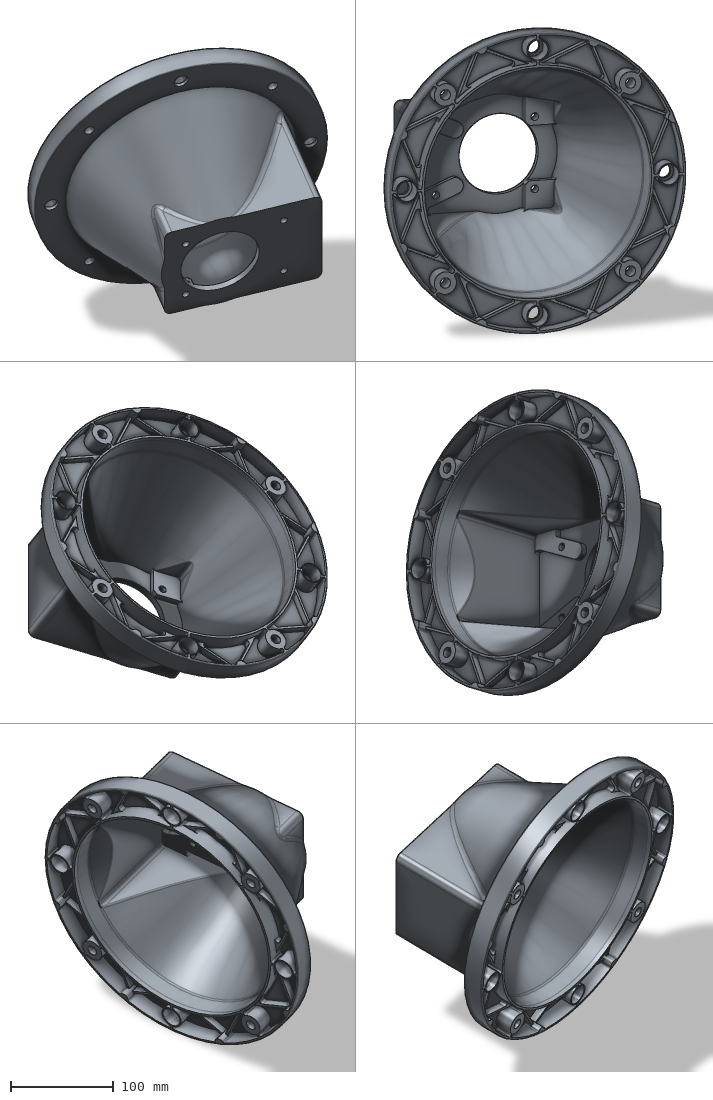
import cadquery as cq
import math

length = 143.0
wall = 2.5

flange_dia = 300.0
flange_depth = 21.5
flange_edge_round = 1.0
pocket_outer_radius = flange_dia / 2 - wall
pocket_inner_radius = 235.0 / 2
pocket_depth = 17.7
pocket_corner_radius = 1.5
rib_recess = 10.0
rib_square_side = 60.0
rib_pocket_corner_radius = 3.0

boss_count = 8
bolt_circle_radius = 132.5
boss_radius = 11.25
screw_hole_dia = 10.2
dowel_hole_dia = 14.0
dowel_counterbore_dia = 20.0
bump_radius = 5.5
bump_circle_radius = 148.8
boss_pitch = 360 / boss_count

cone_base_radius = 118.0
cone_end_radius = 60.0
spigot_radius = 230.0 / 2
spigot_depth = 5.0
inner_cone_base_radius = 113.0
inner_cone_floor_radius = 59.5

box_y_max = 104.0
box_y_min = -56.7
box_half_height = 58.2
box_corner_radius = 7.5
box_cone_fillet = 7.5
inner_box_cone_fillet = 2.5
bore_end_fillet = 7.5

floor_thickness = 7.0
floor_x = length - floor_thickness
pad_height = 6.3
end_bore_dia = 80.0
mount_hole_dia = 7.5
mount_y_far = 65.5
mount_y_near = -34.8
mount_z = 36.0

arm_angle = 22.5
arm_radius = 8.5
arm_reach = 21.0
far_pad_y = 73.5
far_pad_z = 39.3
near_pad_y = -25.0
near_pad_z = 27.5
near_pad_corner_radius = 1.5
far_pad_corner_radius = 2.5


def disc(radius, x_start, depth, y=0, z=0):
    """Cylinder along X."""
    return cq.Workplane("YZ", origin=(x_start, y, z)).circle(radius).extrude(depth)


def block(x_start, depth, y_min, y_max, z_min, z_max):
    """Box given by its limits."""
    size = (depth, y_max - y_min, z_max - z_min)
    return cq.Workplane("XY").box(*size, centered=False).translate((x_start, y_min, z_min))


def turn(body, angle):
    """Rotate a body about the housing axis."""
    return body.rotate((0, 0, 0), (1, 0, 0), angle)


def round_crossing(body, x_start, x_end, radius):
    """Round the curved edges where a cone and a box cross, between two X limits."""
    margin = 0.3
    low = (x_start + margin, -flange_dia, -flange_dia)
    high = (x_end - margin, flange_dia, flange_dia)
    between = cq.selectors.BoxSelector(low, high)
    return body.edges(between).edges("not(%LINE or %CIRCLE)").fillet(radius)


def make_outer_shell():
    """Solid cone with the side box blended into it."""
    cone = cq.Workplane("XY").polyline([
        (flange_depth, 0),
        (flange_depth, cone_base_radius),
        (length, cone_end_radius),
        (length, 0),
    ]).close().revolve(360, (0, 0, 0), (1, 0, 0))
    box = block(flange_depth, length - flange_depth,
                box_y_min, box_y_max, -box_half_height, box_half_height)
    box = box.edges("|X").fillet(box_corner_radius)
    body = cone.union(box)
    return round_crossing(body, flange_depth, length, box_cone_fillet)


def make_pads(x_start, depth):
    """Slanted far pads and square near pads, mirrored about the middle plane."""
    lean = math.radians(arm_angle)
    tip = (mount_y_far - arm_reach * math.cos(lean),
           mount_z - arm_reach * math.sin(lean))
    slope = math.tan(lean)
    side = (-arm_radius * math.sin(lean),
            arm_radius * math.cos(lean))
    upper = (tip[0] + side[0], tip[1] + side[1])
    lower = (tip[0] - side[0], tip[1] - side[1])
    nose = (tip[0] - side[1], tip[1] + side[0])
    far_pad = (
        cq.Workplane("YZ", origin=(x_start, 0, 0))
        .moveTo(box_y_max, box_half_height)
        .lineTo(far_pad_y, box_half_height)
        .lineTo(far_pad_y, upper[1] + slope * (far_pad_y - upper[0]))
        .lineTo(*upper)
        .threePointArc(nose, lower)
        .lineTo(lower[0] + (far_pad_z - lower[1]) / slope, far_pad_z)
        .lineTo(box_y_max, far_pad_z)
        .close()
        .extrude(depth)
    )
    near_pad = block(x_start, depth, box_y_min, near_pad_y, near_pad_z, box_half_height)
    near_pad = near_pad.cut(disc(end_bore_dia / 2, x_start, depth))
    pads = far_pad.union(near_pad)
    return pads.union(pads.mirror("XY"))


def round_pad_corners(cavity):
    """Round the pad corners, leaving out the smooth joints at the arm noses."""
    reach = flange_dia
    pad_x = floor_x - pad_height
    near = cq.selectors.BoxSelector((pad_x, -reach, -reach), (floor_x, 0, reach))
    far = cq.selectors.BoxSelector((pad_x, mount_y_far, -reach), (floor_x, reach, reach))
    cavity = cavity.edges(near).edges("|X").fillet(near_pad_corner_radius)
    return cavity.edges(far).edges("|X").fillet(far_pad_corner_radius)


def make_cavity():
    """Inside of the bell: spigot bore, tapered bore, cone and box, down to the pads."""
    cone = cq.Workplane("XY").polyline([
        (0, 0),
        (0, spigot_radius),
        (spigot_depth, spigot_radius),
        (flange_depth, inner_cone_base_radius),
        (floor_x, inner_cone_floor_radius),
        (floor_x, 0),
    ]).close().revolve(360, (0, 0, 0), (1, 0, 0))
    bore_end = cq.selectors.NearestToPointSelector((flange_depth, 0, inner_cone_base_radius))
    cone = cone.edges(bore_end).fillet(bore_end_fillet)
    half_height = box_half_height - wall
    box = block(flange_depth, floor_x - flange_depth,
                box_y_min + wall, box_y_max - wall, -half_height, half_height)
    box = box.edges("|X").fillet(box_corner_radius - wall)
    cavity = round_crossing(cone.union(box), flange_depth, floor_x, inner_box_cone_fillet)
    cavity = cavity.cut(make_pads(floor_x - pad_height, pad_height))
    return round_pad_corners(cavity)


def make_square(x_start, depth, overlap):
    """Square with one corner pointing out at the rim along +Y, grown past the rib lines by overlap."""
    square = block(x_start, depth, -rib_square_side, overlap, -rib_square_side, overlap)
    return turn(square, -45).translate((0, pocket_outer_radius, 0))


def make_ring(x_start, depth):
    """Full ring between the rim wall and the bore wall."""
    return disc(pocket_outer_radius, x_start, depth).cut(disc(pocket_inner_radius, x_start, depth))


def make_bump(x_start, depth):
    """Small round bump on the rim where two ribs meet, placed on +Y."""
    return disc(bump_radius, x_start, depth, y=bump_circle_radius)


def make_boss_pockets(x_start, depth, ribbed):
    """Recesses beside the bosses: the webs, bosses and bumps stay, and the rib squares if ribbed."""
    pockets = make_ring(x_start, depth)
    between_bosses = make_bump(x_start, depth)
    if ribbed:
        between_bosses = between_bosses.union(make_square(x_start, depth, wall / 2))
    web = block(x_start, depth, 0, flange_dia / 2, -wall / 2, wall / 2)
    at_boss = web.union(disc(boss_radius, x_start, depth, y=bolt_circle_radius))
    for i in range(boss_count):
        angle = i * boss_pitch
        pockets = pockets.cut(turn(at_boss, angle)).cut(turn(between_bosses, angle + boss_pitch / 2))
    return pockets.edges("|X").fillet(pocket_corner_radius)


def make_rib_pockets(x_start, depth):
    """Triangular recesses between each pair of square-set ribs."""
    pocket = make_ring(x_start, depth).intersect(make_square(x_start, depth, -wall / 2))
    pocket = pocket.cut(make_bump(x_start, depth))
    pocket = pocket.edges("|X and <Y").fillet(rib_pocket_corner_radius)
    pockets = cq.Workplane("YZ")
    for i in range(boss_count):
        pockets = pockets.add(turn(pocket, (i + 0.5) * boss_pitch))
    return pockets.combine()


def make_flange():
    """Disc hollowed between the bosses, with the ribs standing lower than the rim."""
    flange = disc(flange_dia / 2, 0, flange_depth).edges().fillet(flange_edge_round)
    flange = flange.cut(make_boss_pockets(0, rib_recess, False))
    flange = flange.cut(make_boss_pockets(rib_recess, pocket_depth - rib_recess, True))
    return flange.cut(make_rib_pockets(rib_recess, pocket_depth - rib_recess))


def make_boss_holes():
    """Plain screw holes and counterbored dowel holes in turn."""
    holes = cq.Workplane("YZ")
    for i in range(boss_count):
        if i % 2:
            hole = disc(screw_hole_dia / 2, 0, flange_depth, y=bolt_circle_radius)
        else:
            hole = disc(dowel_hole_dia / 2, 0, flange_depth, y=bolt_circle_radius)
            hole = hole.union(disc(dowel_counterbore_dia / 2, 0, pocket_depth, y=bolt_circle_radius))
        holes = holes.add(turn(hole, i * boss_pitch))
    return holes.combine()


def make_end_holes():
    """Large end bore and the four mounting holes."""
    holes = disc(end_bore_dia / 2, floor_x - pad_height, length)
    for y in (mount_y_near, mount_y_far):
        for z in (-mount_z, mount_z):
            holes = holes.union(disc(mount_hole_dia / 2, floor_x - pad_height, length, y, z))
    return holes


result = make_flange().union(make_outer_shell())
result = result.cut(make_cavity()).cut(make_boss_holes()).cut(make_end_holes())